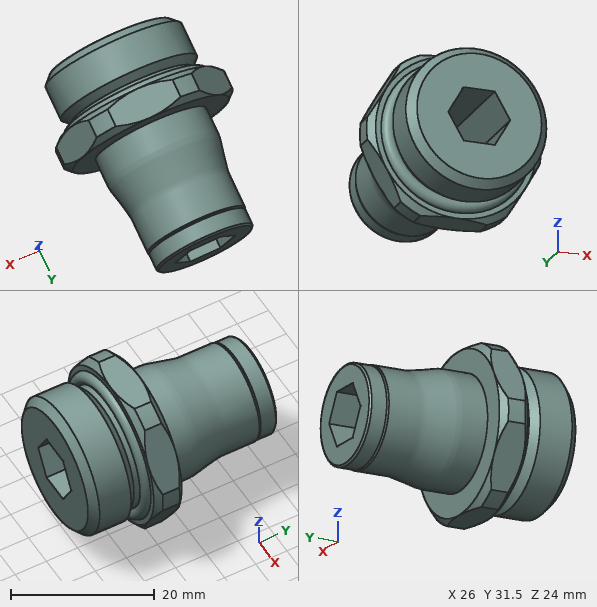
import cadquery as cq
import math

length = 31.5
thread_chamfer = 1.2
thread_end = 6.25
neck_start = 7.37
bead_start = 8.0
hex_start = 9.0
hex_end = 13.5
taper_start = 17.45
taper_end = 23.37
groove_start = 28.55
groove_end = 28.85
cap_chamfer = 0.28

thread_radius = 10.5
neck_radius = 9.32
bead_radius = 11.18
bead_section_radius = hex_start - bead_start
bead_centre_radius = bead_radius - bead_section_radius
body_radius = 8.55
stem_radius = 7.5
groove_radius = 6.55
cap_radius = 7.4

hex_flats = 24.0
hex_corner_diameter = 26.0
hex_bevel_length = 0.9
socket_flats = 8.0

blend_length = 0.9
taper_drop = body_radius - stem_radius
taper_angle = math.atan(taper_drop / (taper_end - taper_start - blend_length))
blend_drop = blend_length * math.tan(taper_angle / 2)


def revolve_around_y(profile):
    return profile.close().revolve(360, (0, 0, 0), (0, 1, 0))


def hexagonal_prism(flats, start, end):
    """Hexagon along Y with corners on the X axis."""
    corner_diameter = flats / math.cos(math.radians(30))
    plane = cq.Workplane("XZ", origin=(0, start, 0))
    return plane.polygon(6, corner_diameter).extrude(start - end)


def turned_body():
    profile = (
        cq.Workplane("XY")
        .lineTo(thread_radius - thread_chamfer, 0)
        .lineTo(thread_radius, thread_chamfer)
        .lineTo(thread_radius, thread_end)
        .lineTo(neck_radius, neck_start)
        .lineTo(neck_radius, hex_start)
        .lineTo(body_radius, hex_start)
        .lineTo(body_radius, taper_start)
        .tangentArcPoint((body_radius - blend_drop, taper_start + blend_length), relative=False)
        .lineTo(stem_radius + blend_drop, taper_end - blend_length)
        .tangentArcPoint((stem_radius, taper_end), relative=False)
        .lineTo(stem_radius, groove_start)
        .lineTo(groove_radius, groove_start)
        .lineTo(groove_radius, groove_end)
        .lineTo(cap_radius, groove_end)
        .lineTo(cap_radius, length - cap_chamfer)
        .lineTo(cap_radius - cap_chamfer, length)
        .lineTo(0, length)
    )
    return revolve_around_y(profile)


def sealing_bead():
    """Half-round ring standing on the hexagon face, around the neck."""
    profile = (
        cq.Workplane("XY")
        .moveTo(bead_centre_radius - bead_section_radius, hex_start)
        .threePointArc((bead_centre_radius, bead_start), (bead_radius, hex_start))
    )
    return revolve_around_y(profile)


def bevelled_hexagon():
    """Hexagon with its corners turned down and both faces bevelled to the flats."""
    corner_radius = hex_corner_diameter / 2
    face_radius = hex_flats / 2
    envelope = revolve_around_y(
        cq.Workplane("XY")
        .moveTo(0, hex_start)
        .lineTo(face_radius, hex_start)
        .lineTo(corner_radius, hex_start + hex_bevel_length)
        .lineTo(corner_radius, hex_end - hex_bevel_length)
        .lineTo(face_radius, hex_end)
        .lineTo(0, hex_end)
    )
    return hexagonal_prism(hex_flats, hex_start, hex_end).intersect(envelope)


socket = hexagonal_prism(socket_flats, 0, length)
centred = (0, -length / 2, 0)
result = turned_body().union(bevelled_hexagon()).union(sealing_bead()).cut(socket).translate(centred)